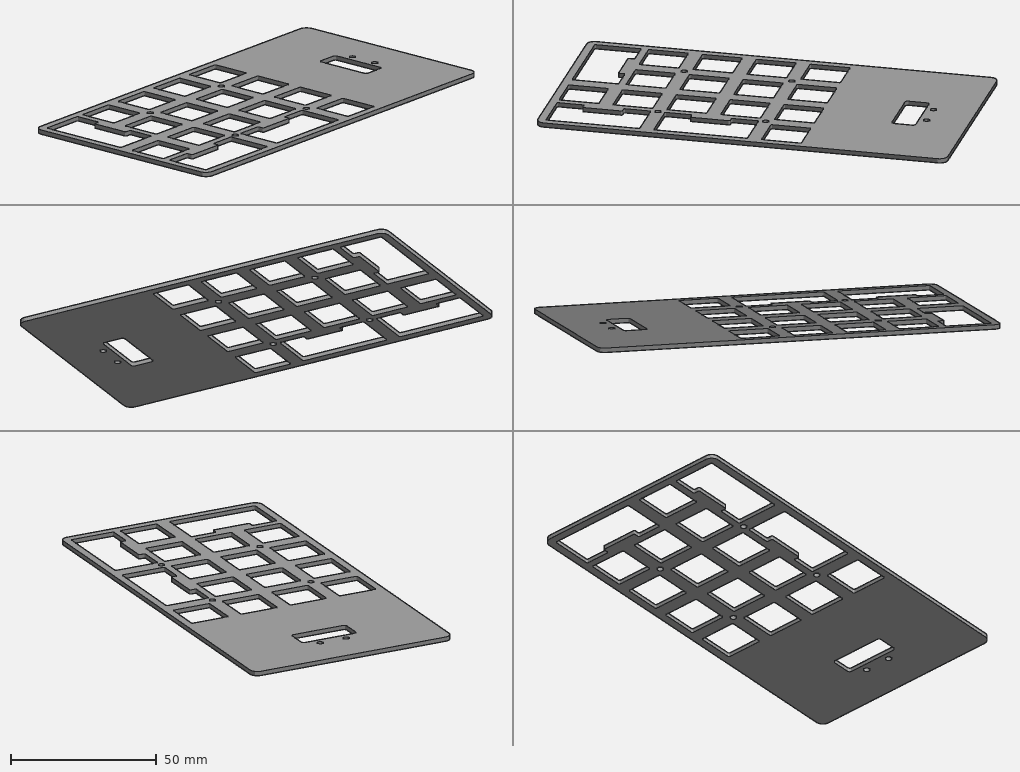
import cadquery as cq

plate_width = 77.0
plate_length = 145.0
plate_thickness = 1.6
plate_corner_radius = 2.9

key_size = 14.0
edge_margin = 2.9
column_count = 4
key_corner_radius = 0.5
key_pitch = (plate_width - 2 * edge_margin - key_size) / (column_count - 1)
first_key_x = -plate_width / 2 + edge_margin + key_size / 2
first_key_y = -plate_length / 2 + edge_margin + key_size / 2

double_key_length = key_pitch + key_size
side_relief = 2.3
tab_length = key_size

hole_diameter = 2.2
upper_hole_spacing = 10.0
upper_hole_from_top = 15.0
window_width = 21.0
window_height = 8.4
window_from_top = 21.9
window_corner_radius = 1.0

single_keys = [
    (0, 4), (1, 4), (2, 4), (3, 4),
    (0, 3), (1, 3), (2, 3),
    (0, 2), (1, 2), (2, 2),
    (0, 1), (1, 1), (2, 1),
    (2, 0),
]
double_keys = [(3, 2.5, 90), (3, 0.5, 90), (0.5, 0, 0)]
grid_holes = [(0.5, 3.5), (2.5, 3.5), (0.5, 1.5), (2.5, 1.5)]


def grid_point(column, row):
    """XY position of a grid place; halves lie midway between keys."""
    return (first_key_x + column * key_pitch, first_key_y + row * key_pitch)


def rounded_block(width, length, radius):
    """Plate-thick rectangle centred on the origin with rounded upright edges."""
    return cq.Workplane("XY").box(width, length, plate_thickness).edges("|Z").fillet(radius)


def double_key_cutter():
    """Through-cutter lying along X, with its tab in the middle of the +Y side."""
    half_length = double_key_length / 2
    half_tab = tab_length / 2
    tab_y = key_size / 2
    relief_y = tab_y + side_relief
    return (
        cq.Workplane("XY")
        .workplane(offset=-plate_thickness / 2)
        .moveTo(-half_length, -key_size / 2)
        .lineTo(half_length, -key_size / 2)
        .lineTo(half_length, relief_y)
        .lineTo(half_tab, relief_y)
        .lineTo(half_tab, tab_y)
        .lineTo(-half_tab, tab_y)
        .lineTo(-half_tab, relief_y)
        .lineTo(-half_length, relief_y)
        .close()
        .extrude(plate_thickness)
        .edges("|Z")
        .fillet(key_corner_radius)
    )


plate = rounded_block(plate_width, plate_length, plate_corner_radius)

key_cutter = rounded_block(key_size, key_size, key_corner_radius)
for column, row in single_keys:
    plate = plate.cut(key_cutter.translate((*grid_point(column, row), 0)))

double_cutter = double_key_cutter()
for column, row, turn in double_keys:
    turned_cutter = double_cutter.rotate((0, 0, 0), (0, 0, 1), turn)
    plate = plate.cut(turned_cutter.translate((*grid_point(column, row), 0)))

window_y = plate_length / 2 - window_from_top
window_cutter = rounded_block(window_width, window_height, window_corner_radius)
plate = plate.cut(window_cutter.translate((0, window_y, 0)))

upper_hole_y = plate_length / 2 - upper_hole_from_top
hole_points = [grid_point(column, row) for column, row in grid_holes]
hole_points += [(side * upper_hole_spacing / 2, upper_hole_y) for side in (-1, 1)]
hole_cutter = cq.Workplane("XY").pushPoints(hole_points).circle(hole_diameter / 2)
plate = plate.cut(hole_cutter.extrude(plate_thickness / 2, both=True))

result = plate